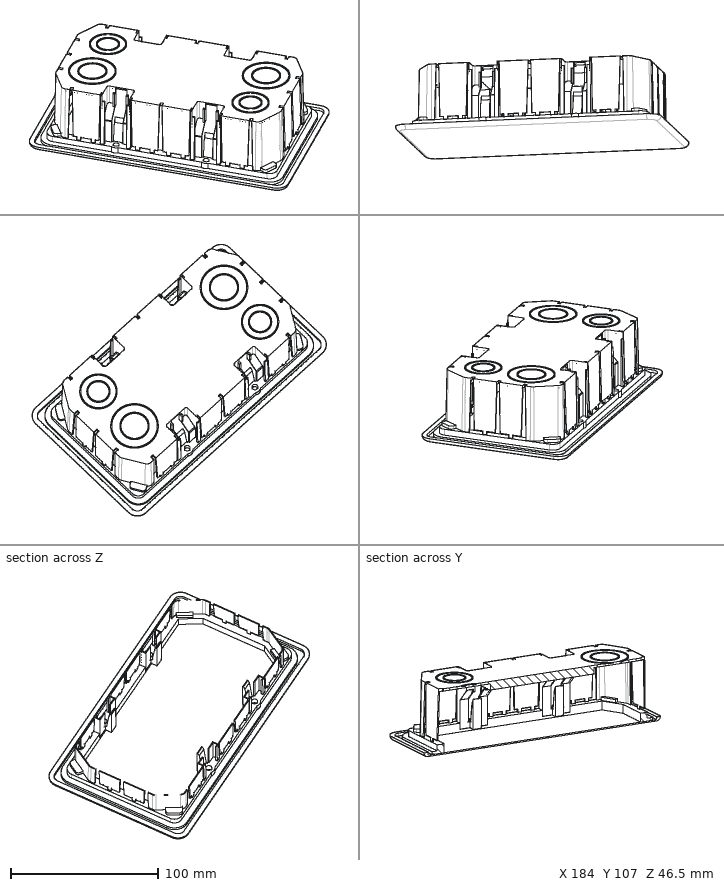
import cadquery as cq
import math

LID_LENGTH = 184.0
LID_WIDTH = 107.0
LID_HEIGHT = 3.3
LID_CORNER_RADIUS = 8.3
LID_EDGE_RADIUS = 3.1
LID_RIM_WIDTH = 3.5
LID_FLOOR = 1.3
LID_RECESS_RADIUS = 4.8

TOTAL_HEIGHT = 46.5
FLANGE_LENGTH = 171.9
FLANGE_WIDTH = 96.5
COLLAR_TOP = 7.5
COLLAR_LENGTH = 163.5
COLLAR_WIDTH = 88.0
COLLAR_CORNER_RADIUS = 5.5
FLANGE_CORNER_RADIUS = COLLAR_CORNER_RADIUS + (FLANGE_WIDTH - COLLAR_WIDTH) / 2
FOOT_WALL = 4.8

SHELL_HALF_X = 81.0
SHELL_HALF_Y = 42.9
CORNER_CUT_X = 10.5
CORNER_CUT_Y = 17.7
SHELL_CORNER_RADIUS = 4.8
DRAFT_ANGLE = 1.2
WALL = 1.0
ROOF = 2.0
ROOF_UNDERSIDE = TOTAL_HEIGHT - ROOF
SHELL_HEIGHT = TOTAL_HEIGHT - COLLAR_TOP

ROOF_PAD_LENGTH = 81.0
ROOF_PAD_WIDTH = 44.2
ROOF_PAD_BOTTOM = 40.1

SLOT_TOP_HALF_WIDTH = 1.0
SLOT_BOTTOM_HALF_WIDTH = 1.8
SLOT_REACH = 3.9
SLOT_OVERRUN = 3.7
SIDE_SLOT_X = 63.8
END_SLOT_Y = 19.0
PANEL_BOTTOM = 9.8
GAP_OVERLAP = 0.5
SIDE_TAB_WIDTH = 3.0
SIDE_TAB_OFFSET = 5.2
END_TAB_WIDTH = 2.8

POCKET_X = 32.0
POCKET_HALF_WIDTH = 9.8
POCKET_SIDE_WALL = 1.0
POCKET_OUTER_HALF = POCKET_HALF_WIDTH + POCKET_SIDE_WALL
POCKET_BACK_Y = 29.6
POCKET_CORNER_RADIUS = 1.5
RAMP_TOP = 33.1
RAMP_BOTTOM = 24.1
RAMP_FOOT_Y = 38.6
POCKET_BACK_WALL = 1.0
POCKET_SLOT_TOP = 0.4
POCKET_SLOT_BOTTOM = 1.1
EAR_TOP = 41.5
EAR_INNER_HALF = 8.0
EAR_THICKNESS = 1.5
WINDOW_HALF_WIDTH = 4.0
WINDOW_TOP = 45.6
GUIDE_WIDTH = 1.3
GUIDE_DEPTH = 1.7
GUIDE_TOP = 41.8
GUIDE_BOTTOM = 31.3

TONGUE_WIDTH = 6.3
TONGUE_BACK_Y = 33.1
TONGUE_FOOT_Y = 37.0
TONGUE_SHOULDER_Y = 35.0
TONGUE_SHOULDER_Z = 21.5
TONGUE_TOP = 24.7
SCREW_Y = 40.7
SCREW_HOLE_RADIUS = 2.0
SCREW_BOSS_RADIUS = 4.0

PAD_X = 78.0
PAD_Y = 39.2
PAD_LENGTH = 11.5
PAD_DEPTH = 8.3
PAD_HEIGHT = 2.2
PAD_CORNER_RADIUS = 2.2

KNOCKOUT_X = 57.0
LARGE_KNOCKOUT_Y = 15.0
SMALL_KNOCKOUT_Y = 20.0
LARGE_KNOCKOUT_RADII = (16.2, 10.0)
SMALL_KNOCKOUT_RADII = (12.7, 8.0)
GROOVE_WIDTH = 0.7
GROOVE_DEPTH = 0.5


def slab(x0, x1, y0, y1, z0, z1):
    """Box between two opposite corners."""
    return cq.Workplane("XY").box(x1 - x0, y1 - y0, z1 - z0, centered=False).translate((x0, y0, z0))


def rounded_slab(length, width, z0, z1, radius):
    """Centred rectangular slab with rounded vertical edges."""
    block = cq.Workplane("XY").box(length, width, z1 - z0, centered=(True, True, False))
    return block.edges("|Z").fillet(radius).translate((0, 0, z0))


def turned(shape, angle):
    return shape.rotate((0, 0, 0), (0, 0, 1), angle)


def make_lid():
    lid = rounded_slab(LID_LENGTH, LID_WIDTH, 0, LID_HEIGHT, LID_CORNER_RADIUS)
    lid = lid.faces("<Z").edges().fillet(LID_EDGE_RADIUS)
    recess = (
        cq.Workplane("XY")
        .workplane(offset=LID_FLOOR)
        .rect(LID_LENGTH - 2 * LID_RIM_WIDTH, LID_WIDTH - 2 * LID_RIM_WIDTH)
        .extrude(LID_HEIGHT)
        .edges("|Z")
        .fillet(LID_RECESS_RADIUS)
    )
    return lid.cut(recess)


def shell_outline(inset):
    """Rectangle with cut-off, rounded corners, at collar level, moved inwards by inset."""
    x, y = SHELL_HALF_X, SHELL_HALF_Y
    flat_x, flat_y = x - CORNER_CUT_X, y - CORNER_CUT_Y
    points = [
        (flat_x, y), (x, flat_y), (x, -flat_y), (flat_x, -y),
        (-flat_x, -y), (-x, -flat_y), (-x, flat_y), (-flat_x, y),
    ]
    outline = cq.Workplane("XY").workplane(offset=COLLAR_TOP).polyline(points).close()
    return outline.offset2D(-SHELL_CORNER_RADIUS).offset2D(SHELL_CORNER_RADIUS - inset)


def make_shell_block():
    return shell_outline(0).extrude(SHELL_HEIGHT, taper=DRAFT_ANGLE)


def make_cavity():
    """Hollow of the box between the collar and the roof."""
    return shell_outline(WALL).extrude(ROOF_UNDERSIDE - COLLAR_TOP, taper=DRAFT_ANGLE)


def make_foot_opening():
    """Opening through the flange and collar, with a ledge left inside the walls."""
    return shell_outline(FOOT_WALL).extrude(LID_FLOOR - COLLAR_TOP)


def wall_slot(wall_y, bottom_span, top_span):
    """Cutter through a wall at +Y; each span is the slot's (left, right) at that end."""
    points = [
        (bottom_span[0], COLLAR_TOP), (bottom_span[1], COLLAR_TOP),
        (top_span[1], TOTAL_HEIGHT), (top_span[0], TOTAL_HEIGHT),
    ]
    depth = SLOT_REACH + SLOT_OVERRUN
    slot = cq.Workplane("XZ").polyline(points).close().extrude(-depth)
    return slot.translate((0, wall_y - SLOT_REACH, 0))


def wedge_slot(wall_y, centre):
    bottom = (centre - SLOT_BOTTOM_HALF_WIDTH, centre + SLOT_BOTTOM_HALF_WIDTH)
    top = (centre - SLOT_TOP_HALF_WIDTH, centre + SLOT_TOP_HALF_WIDTH)
    return wall_slot(wall_y, bottom, top)


def pocket_slot(wall_y, pocket_x, side):
    """Narrow wedge slot along one side (-1 or 1) of a pocket."""
    edge = pocket_x + side * POCKET_OUTER_HALF
    bottom = sorted((edge, edge + side * POCKET_SLOT_BOTTOM))
    top = sorted((edge, edge + side * POCKET_SLOT_TOP))
    return wall_slot(wall_y, bottom, top)


def panel_gap(wall_y, left, right, tab_offsets, tab_width):
    """Gap under a panel, running into the slots beside it, with tabs at offsets from its middle."""
    y0, y1 = wall_y - SLOT_REACH, wall_y + SLOT_OVERRUN
    gap = slab(left - GAP_OVERLAP, right + GAP_OVERLAP, y0, y1, COLLAR_TOP, PANEL_BOTTOM)
    for offset in tab_offsets:
        middle = (left + right) / 2 + offset
        tab = slab(middle - tab_width / 2, middle + tab_width / 2, y0, y1, COLLAR_TOP, PANEL_BOTTOM)
        gap = gap.cut(tab)
    return gap


def side_wall_cutters():
    """Slots and gaps of the four panels in the long wall at +Y."""
    cutters = [wedge_slot(SHELL_HALF_Y, x) for x in (-SIDE_SLOT_X, 0, SIDE_SLOT_X)]
    pocket_edge = POCKET_OUTER_HALF + POCKET_SLOT_BOTTOM
    inner_span = (SLOT_BOTTOM_HALF_WIDTH, POCKET_X - pocket_edge)
    outer_span = (POCKET_X + pocket_edge, SIDE_SLOT_X - SLOT_BOTTOM_HALF_WIDTH)
    tab_offsets = (-SIDE_TAB_OFFSET, SIDE_TAB_OFFSET)
    for half in (-1, 1):
        for side in (-1, 1):
            cutters.append(pocket_slot(SHELL_HALF_Y, half * POCKET_X, side))
        for span in (inner_span, outer_span):
            left, right = sorted((half * span[0], half * span[1]))
            cutters.append(panel_gap(SHELL_HALF_Y, left, right, tab_offsets, SIDE_TAB_WIDTH))
    return cutters


def end_wall_cutters():
    """Slots and gaps of the two panels in an end wall, built as if the wall were at +Y."""
    cutters = [wedge_slot(SHELL_HALF_X, y) for y in (-END_SLOT_Y, 0, END_SLOT_Y)]
    near, far = SLOT_BOTTOM_HALF_WIDTH, END_SLOT_Y - SLOT_BOTTOM_HALF_WIDTH
    for half in (-1, 1):
        left, right = sorted((half * near, half * far))
        cutters.append(panel_gap(SHELL_HALF_X, left, right, (0,), END_TAB_WIDTH))
    return cutters


def pocket_prism(half_width, back_shift, bottom):
    """Space of a pocket at x = 0 in the +Y wall, its back wall moved inwards by back_shift."""
    back = POCKET_BACK_Y - back_shift
    foot = RAMP_FOOT_Y - back_shift
    mouth = SHELL_HALF_Y + SLOT_OVERRUN
    points = [
        (back, TOTAL_HEIGHT), (back, RAMP_TOP), (foot, RAMP_BOTTOM),
        (foot, bottom), (mouth, bottom), (mouth, TOTAL_HEIGHT),
    ]
    return cq.Workplane("YZ").polyline(points).close().extrude(half_width, both=True)


def pocket_lining():
    return pocket_prism(POCKET_OUTER_HALF, POCKET_BACK_WALL, COLLAR_TOP)


def pocket_ledge():
    """Floor of the pocket, level with the top of the collar."""
    return slab(
        -POCKET_OUTER_HALF, POCKET_OUTER_HALF,
        RAMP_FOOT_Y - POCKET_BACK_WALL, SHELL_HALF_Y, LID_HEIGHT, COLLAR_TOP,
    )


def pocket_space():
    """Pocket opening with rounded inner corners, ears left standing at its mouth."""
    space = pocket_prism(POCKET_HALF_WIDTH, 0, COLLAR_TOP)
    space = space.edges("|Z and <Y").fillet(POCKET_CORNER_RADIUS)
    ear_back = SHELL_HALF_Y - EAR_THICKNESS
    for side in (-1, 1):
        x0, x1 = sorted((side * EAR_INNER_HALF, side * POCKET_OUTER_HALF))
        space = space.cut(slab(x0, x1, ear_back, SHELL_HALF_Y + SLOT_OVERRUN, COLLAR_TOP, EAR_TOP))
    return space


def pocket_window():
    """Window in the back of the pocket, notched into the roof as far as the roof pad."""
    return slab(
        -WINDOW_HALF_WIDTH, WINDOW_HALF_WIDTH,
        ROOF_PAD_WIDTH / 2, SCREW_Y, COLLAR_TOP, WINDOW_TOP,
    )


def window_guides():
    """Two short ribs that flank the upper part of the window."""
    guides = []
    for side in (-1, 1):
        x0, x1 = sorted((side * WINDOW_HALF_WIDTH, side * (WINDOW_HALF_WIDTH + GUIDE_WIDTH)))
        y0, y1 = POCKET_BACK_Y - POCKET_BACK_WALL, POCKET_BACK_Y + GUIDE_DEPTH
        guides.append(slab(x0, x1, y0, y1, GUIDE_BOTTOM, GUIDE_TOP))
    return guides


def pocket_tongue():
    """Tapered tongue that rises from the ledge inside the window."""
    points = [
        (TONGUE_BACK_Y, LID_HEIGHT), (RAMP_FOOT_Y, LID_HEIGHT), (RAMP_FOOT_Y, COLLAR_TOP),
        (TONGUE_FOOT_Y, COLLAR_TOP), (TONGUE_SHOULDER_Y, TONGUE_SHOULDER_Z), (TONGUE_BACK_Y, TONGUE_TOP),
    ]
    return cq.Workplane("YZ").polyline(points).close().extrude(TONGUE_WIDTH / 2, both=True)


def screw_cylinder(radius):
    height = COLLAR_TOP - LID_HEIGHT
    return cq.Workplane("XY").circle(radius).extrude(height).translate((0, SCREW_Y, LID_HEIGHT))


def add_pocket(box, shell_block, x, angle):
    """Build one pocket into the wall at +Y turned by angle."""
    def placed(shape):
        return turned(shape.translate((x, 0, 0)), angle)

    box = box.union(placed(pocket_lining()).intersect(shell_block))
    box = box.union(placed(pocket_ledge())).union(placed(screw_cylinder(SCREW_BOSS_RADIUS)))
    box = box.cut(placed(pocket_space())).cut(placed(pocket_window()))
    for guide in window_guides():
        box = box.union(placed(guide))
    box = box.union(placed(pocket_tongue()))
    return box.cut(placed(screw_cylinder(SCREW_HOLE_RADIUS)))


def corner_pad(side_x, side_y):
    """Raised pad on the collar, square to the cut-off corner."""
    pad = cq.Workplane("XY").box(PAD_DEPTH, PAD_LENGTH, PAD_HEIGHT, centered=(False, True, False))
    pad = pad.edges("|Z and >X").fillet(PAD_CORNER_RADIUS).translate((-PAD_DEPTH, 0, COLLAR_TOP))
    pad = turned(pad, math.degrees(math.atan2(CORNER_CUT_X, CORNER_CUT_Y))).translate((PAD_X, PAD_Y, 0))
    if side_x < 0:
        pad = pad.mirror("YZ")
    if side_y < 0:
        pad = pad.mirror("XZ")
    return pad


def knockout_groove(x, y, radius):
    ring = cq.Workplane("XY").circle(radius).circle(radius - GROOVE_WIDTH).extrude(GROOVE_DEPTH)
    return ring.translate((x, y, TOTAL_HEIGHT - GROOVE_DEPTH))


def make_foot():
    """Flange, collar and corner pads around the open underside."""
    foot = rounded_slab(FLANGE_LENGTH, FLANGE_WIDTH, LID_FLOOR, LID_HEIGHT, FLANGE_CORNER_RADIUS)
    foot = foot.union(rounded_slab(COLLAR_LENGTH, COLLAR_WIDTH, LID_HEIGHT, COLLAR_TOP, COLLAR_CORNER_RADIUS))
    for side_x in (-1, 1):
        for side_y in (-1, 1):
            foot = foot.union(corner_pad(side_x, side_y))
    return foot.cut(make_foot_opening())


def make_slotted_shell(shell_block):
    """Roof and walls, with the break-out panels cut free."""
    shell = shell_block.cut(make_cavity())
    for angle in (0, 180):
        for cutter in side_wall_cutters():
            shell = shell.cut(turned(cutter, angle))
        for cutter in end_wall_cutters():
            shell = shell.cut(turned(cutter, angle + 90))
    return shell


def make_box():
    shell_block = make_shell_block()
    box = make_slotted_shell(shell_block).union(make_foot())
    box = box.union(slab(
        -ROOF_PAD_LENGTH / 2, ROOF_PAD_LENGTH / 2, -ROOF_PAD_WIDTH / 2, ROOF_PAD_WIDTH / 2,
        ROOF_PAD_BOTTOM, ROOF_UNDERSIDE,
    ))
    for angle in (0, 180):
        for x in (-POCKET_X, POCKET_X):
            box = add_pocket(box, shell_block, x, angle)

    for side in (-1, 1):
        for radius in LARGE_KNOCKOUT_RADII:
            box = box.cut(knockout_groove(side * KNOCKOUT_X, side * LARGE_KNOCKOUT_Y, radius))
        for radius in SMALL_KNOCKOUT_RADII:
            box = box.cut(knockout_groove(side * KNOCKOUT_X, -side * SMALL_KNOCKOUT_Y, radius))
    return box


lid = make_lid()
box = make_box()
result = cq.Compound.makeCompound([lid.val(), *box.vals()])